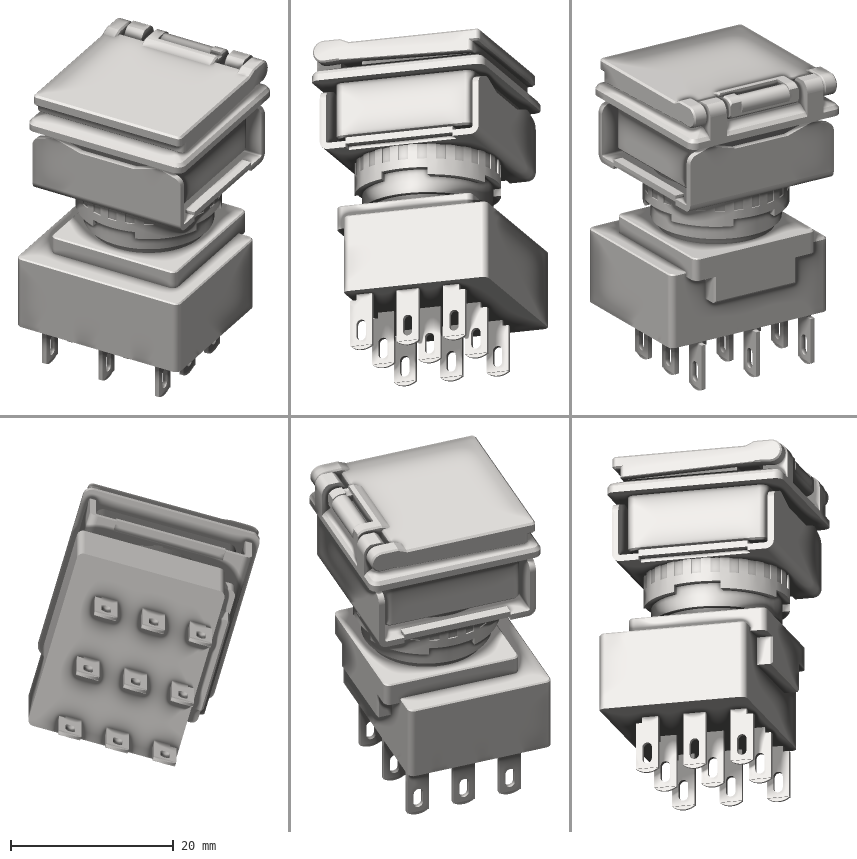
import cadquery as cq

BASE_LEFT, BASE_RIGHT = -11.95, 11.05
BASE_FRONT, BASE_BACK = -11.95, 6.9
BASE_HEIGHT = 9.75
BASE_CORNER = 0.8
EDGE_CHAMFER = 0.15

BLOCK_SIZE = 17.72
BLOCK_TOP = 12.07
BLOCK_BOTTOM = 9.1
LOBE_WIDTH = 12.05
LOBE_BOTTOM = 5.57
LOBE_CHAMFER = 0.25

TERMINAL_PITCH_X = 7.98
TERMINAL_MIDDLE_X = -1.92
TERMINAL_PITCH_Y = 6.05
TERMINAL_MIDDLE_Y = -1.0
TERMINAL_WIDTH = 2.85
TERMINAL_THICKNESS = 0.6
TERMINAL_LENGTH = 7.05
TIP_HEIGHT = 0.5
TIP_THICKNESS = 0.35
EYE_WIDTH, EYE_LENGTH = 1.2, 2.65
EYE_CENTER_Z = -4.6
NOTCH_DEPTH, NOTCH_HEIGHT = 0.8, 0.72

PLUG_RADIUS = 8.5
PLUG_DEPTH = 2.4
NECK_RADIUS = 7.25
SLEEVE_BOTTOM = 13.07
SLEEVE_RADIUS = 8.05
TAB_BOTTOM = 15.08
TAB_GAP = 5.97
RING_BOTTOM = 16.0
RING_RADIUS = 9.02
SLOT_COUNT = 24
SLOT_WIDTH = 1.2
SLOT_DEPTH = 0.15
SLOT_BOTTOM = 17.12
BARREL_RADIUS = 7.9
COLLAR_RADIUS = 8.1
COLLAR_HEIGHT = 0.25

BRACKET_WIDTH = 21.0
BRACKET_DEPTH = 20.7
SHEET = 0.8
BEND_RADIUS = 1.05
BRACKET_BOTTOM = 19.0
WALL_CORNER_Z = 26.3
WALL_PEAK_X, WALL_PEAK_Z = 7.45, 27.25
WALL_DIP_X, WALL_DIP_Z = 3.8, 26.2
WALL_CORNER_RADIUS = 1.2
WALL_PEAK_RADIUS = 2.0
STEP_LENGTH, STEP_WIDTH, STEP_RISE = 13.95, 1.3, 0.45

HOUSING_SIZE = 18.0
HOUSING_BOTTOM = 20.8
HOUSING_CORNER = 1.05
HOUSING_CHAMFER = 0.25
BEZEL_WIDTH = 22.0
BEZEL_FRONT, BEZEL_BACK = -11.05, 11.45
BEZEL_BOTTOM, BEZEL_RIM_TOP, BEZEL_SHOULDER, BEZEL_TOP = 27.8, 28.65, 29.07, 29.8
BEZEL_CORNER = 1.1
SHOULDER_INSET = 0.35
SHOULDER_CORNER = 0.72
CROWN_WIDTH = 17.6
CROWN_FRONT, CROWN_BACK = -8.9, 9.9
CROWN_CORNER = 0.2

HINGE_Y, HINGE_Z = 9.9, 31.65
HINGE_TOP = 33.05
LUG_RADIUS = BEZEL_BACK - HINGE_Y
LUG_INNER_X, LUG_OUTER_X = 5.9, 8.3

LID_WIDTH = 20.95
LID_FRONT = -10.43
LID_TOP = 32.55
LID_CORNER = 0.55
LID_CHAMFER = 0.25
LIP_BOTTOM = 31.05
SKIRT_FRONT = -9.42
SKIRT_CHAMFER = 0.1
KNUCKLE_RADIUS = HINGE_TOP - HINGE_Z
RAMP_TOP_Y, RAMP_FOOT_Y = 7.78, 6.65
UNDERSIDE_BACK_Y, UNDERSIDE_BACK_Z = 8.2, 30.3
PANEL_WIDTH = 18.45
PANEL_BACK = 5.3
LID_BACK = 7.85
KNUCKLE_CHAMFER = 0.2
END_KNUCKLE_INNER_X = 8.55
MIDDLE_KNUCKLE_WIDTH = 10.02
MIDDLE_KNUCKLE_BACK = 11.0
WINDOW_LEFT, WINDOW_RIGHT = -3.55, 3.4
WINDOW_FRONT = 8.4
NOTCH_BACK = 9.3
ROD_RADIUS = 1.25


def block(x0, x1, y0, y1, z0, z1):
    """Axis-aligned box between the given limits."""
    return cq.Workplane("XY").box(x1 - x0, y1 - y0, z1 - z0, centered=False).translate((x0, y0, z0))


def disc(radius, z0, z1):
    """Upright cylinder on the barrel axis."""
    return cq.Workplane("XY").workplane(offset=z0).circle(radius).extrude(z1 - z0)


def side_profile(points, x0, x1):
    """Closed YZ polygon extruded from x0 to x1."""
    return cq.Workplane("YZ").workplane(offset=x0).polyline(points).close().extrude(x1 - x0)


def hinge_cylinder(radius, x0, x1):
    """Cylinder on the hinge axis from x0 to x1."""
    return cq.Workplane("YZ").workplane(offset=x0).center(HINGE_Y, HINGE_Z).circle(radius).extrude(x1 - x0)


def make_terminal(x, y, notch_side):
    """One solder blade; notch_side is +1, -1 or 0 for the side whose root is notched."""
    half = TERMINAL_WIDTH / 2
    shoulder = TIP_HEIGHT - TERMINAL_LENGTH

    def blade(thickness):
        return (cq.Workplane("YZ").workplane(offset=-thickness / 2)
                .moveTo(-half, 0)
                .lineTo(-half, shoulder)
                .threePointArc((0, -TERMINAL_LENGTH), (half, shoulder))
                .lineTo(half, 0)
                .close()
                .extrude(thickness))

    full = TERMINAL_THICKNESS / 2
    terminal = blade(TERMINAL_THICKNESS).intersect(block(-full, full, -half, half, shoulder, 0))
    terminal = terminal.union(blade(TIP_THICKNESS))
    eye = (cq.Workplane("YZ").center(0, EYE_CENTER_Z).slot2D(EYE_LENGTH, EYE_WIDTH, 90)
           .extrude(TERMINAL_THICKNESS, both=True))
    terminal = terminal.cut(eye)
    if notch_side:
        notch = cq.Workplane("XY").box(2 * TERMINAL_THICKNESS, 2 * NOTCH_DEPTH, 2 * NOTCH_HEIGHT)
        terminal = terminal.cut(notch.translate((0, notch_side * half, 0)))
    return terminal.translate((x, y, 0))


def make_base():
    box = block(BASE_LEFT, BASE_RIGHT, BASE_FRONT, BASE_BACK, 0, BASE_HEIGHT)
    box = box.edges("|Z").fillet(BASE_CORNER).faces(">Z").edges().chamfer(EDGE_CHAMFER)

    half = BLOCK_SIZE / 2
    top = block(-half, half, -half, half, BLOCK_BOTTOM, BLOCK_TOP)
    top = top.edges("|Z").fillet(BASE_CORNER).faces(">Z").edges().chamfer(EDGE_CHAMFER)

    lobe = block(-LOBE_WIDTH / 2, LOBE_WIDTH / 2, 0, half, LOBE_BOTTOM, BLOCK_BOTTOM)
    lobe = lobe.faces(">Y").edges("not >Z").chamfer(LOBE_CHAMFER)

    body = box.union(top).union(lobe)
    for column in (-1, 0, 1):
        for row in (-1, 0, 1):
            x = TERMINAL_MIDDLE_X + column * TERMINAL_PITCH_X
            y = TERMINAL_MIDDLE_Y + row * TERMINAL_PITCH_Y
            body = body.union(make_terminal(x, y, row))
    return body.cut(disc(PLUG_RADIUS, BLOCK_TOP - PLUG_DEPTH, BLOCK_TOP))


def make_locking_ring():
    """Ring with slots round its upper edge and four tabs below."""
    ring = disc(RING_RADIUS, TAB_BOTTOM, BRACKET_BOTTOM)
    reach = 2 * RING_RADIUS
    for length_x, length_y in ((reach, TAB_GAP), (TAB_GAP, reach)):
        ring = ring.cut(block(-length_x / 2, length_x / 2, -length_y / 2, length_y / 2, TAB_BOTTOM, RING_BOTTOM))

    for index in range(SLOT_COUNT):
        slot = block(0, reach, -SLOT_WIDTH / 2, SLOT_WIDTH / 2, SLOT_BOTTOM, BRACKET_BOTTOM)
        ring = ring.cut(slot.rotate((0, 0, 0), (0, 0, 1), index * 360 / SLOT_COUNT))
    return ring.union(disc(RING_RADIUS - SLOT_DEPTH, SLOT_BOTTOM, BRACKET_BOTTOM))


def make_barrel():
    plug = disc(PLUG_RADIUS, BLOCK_TOP - PLUG_DEPTH, BLOCK_TOP)
    neck = disc(NECK_RADIUS, BLOCK_TOP, SLEEVE_BOTTOM)
    sleeve = disc(SLEEVE_RADIUS, SLEEVE_BOTTOM, RING_BOTTOM)
    barrel = disc(BARREL_RADIUS, RING_BOTTOM, HOUSING_BOTTOM)
    collar = cq.Workplane("XY").add(cq.Solid.makeCone(
        BARREL_RADIUS, COLLAR_RADIUS, COLLAR_HEIGHT, cq.Vector(0, 0, HOUSING_BOTTOM - COLLAR_HEIGHT)))
    return plug.union(neck).union(sleeve).union(barrel).union(collar).union(make_locking_ring())


def rounded_sketch(width, front, back, corner):
    """Rounded rectangle centred in X, running from front to back in Y."""
    outline = cq.Sketch().rect(width, back - front).vertices().fillet(corner)
    return outline.moved(cq.Location(cq.Vector(0, (front + back) / 2, 0)))


def make_bezel():
    rim = rounded_sketch(BEZEL_WIDTH, BEZEL_FRONT, BEZEL_BACK, BEZEL_CORNER)
    shoulder = rounded_sketch(BEZEL_WIDTH - 2 * SHOULDER_INSET, BEZEL_FRONT + SHOULDER_INSET,
                              BEZEL_BACK - SHOULDER_INSET, SHOULDER_CORNER)
    crown = rounded_sketch(CROWN_WIDTH, CROWN_FRONT, CROWN_BACK, CROWN_CORNER)

    def at(sketch, z):
        return sketch.moved(cq.Location(cq.Vector(0, 0, z)))

    plate = cq.Workplane("XY").workplane(offset=BEZEL_BOTTOM).placeSketch(rim)
    plate = plate.extrude(BEZEL_RIM_TOP - BEZEL_BOTTOM)
    edge = cq.Workplane("XY").placeSketch(at(rim, BEZEL_RIM_TOP), at(shoulder, BEZEL_SHOULDER)).loft(ruled=True)
    slope = cq.Workplane("XY").placeSketch(at(shoulder, BEZEL_SHOULDER), at(crown, BEZEL_TOP)).loft(ruled=True)
    return plate.union(edge).union(slope)


def make_hinge_lug(x0, x1):
    """Bezel lug: round head with a flat top on a straight foot."""
    head = hinge_cylinder(LUG_RADIUS, x0, x1)
    head = head.intersect(block(x0, x1, 0, BEZEL_BACK, BEZEL_TOP, HINGE_TOP))
    foot = block(x0, x1, HINGE_Y - LUG_RADIUS, BEZEL_BACK, BEZEL_RIM_TOP, HINGE_Z)
    return head.union(foot)


def make_housing():
    half = HOUSING_SIZE / 2
    box = block(-half, half, -half, half, HOUSING_BOTTOM, BEZEL_BOTTOM)
    box = box.edges("|Z").fillet(HOUSING_CORNER).faces("<Z").edges().chamfer(HOUSING_CHAMFER)
    body = make_barrel().union(box).union(make_bezel())
    for x0, x1 in ((-LUG_OUTER_X, -LUG_INNER_X), (LUG_INNER_X, LUG_OUTER_X)):
        body = body.union(make_hinge_lug(x0, x1))
    return body


def make_bracket():
    """U-shaped sheet bracket clamped between the housing and the locking ring."""
    half_width, half_depth = BRACKET_WIDTH / 2, BRACKET_DEPTH / 2
    plate_top = BRACKET_BOTTOM + SHEET

    outer = block(-half_width, half_width, -half_depth, half_depth, BRACKET_BOTTOM, WALL_PEAK_Z)
    outer = outer.faces("<Z").edges("|X").fillet(BEND_RADIUS)
    inner = block(-half_width, half_width, SHEET - half_depth, half_depth - SHEET, plate_top, WALL_PEAK_Z)
    inner = inner.faces("<Z").edges("|X").fillet(BEND_RADIUS - SHEET)
    sheet = outer.cut(inner)

    right_side = [(half_width, BRACKET_BOTTOM), (half_width, WALL_CORNER_Z), (WALL_PEAK_X, WALL_PEAK_Z),
                  (WALL_DIP_X, WALL_DIP_Z)]
    left_side = [(-x, z) for x, z in reversed(right_side)]
    outline = cq.Workplane("XZ").polyline(right_side + left_side).close().extrude(half_depth, both=True)
    for x in (-half_width, half_width):
        corner = cq.selectors.NearestToPointSelector((x, 0, WALL_CORNER_Z))
        outline = outline.edges("|Y").edges(corner).fillet(WALL_CORNER_RADIUS)
    for x in (-WALL_PEAK_X, WALL_PEAK_X):
        peak = cq.selectors.NearestToPointSelector((x, 0, WALL_PEAK_Z))
        outline = outline.edges("|Y").edges(peak).fillet(WALL_PEAK_RADIUS)
    sheet = sheet.intersect(outline)

    half_step = STEP_LENGTH / 2
    for edge_x in (-half_width, half_width - STEP_WIDTH):
        strip = block(edge_x, edge_x + STEP_WIDTH, -half_step, half_step, BRACKET_BOTTOM, plate_top)
        sheet = sheet.cut(strip).union(strip.translate((0, 0, STEP_RISE)))
    return sheet.cut(disc(BARREL_RADIUS, BRACKET_BOTTOM, plate_top))


def make_knuckle(x0, x1):
    """Lid knuckle: rounded back, flat top, and a ramp down to the lid plate."""
    knuckle = (cq.Workplane("YZ").workplane(offset=x0)
               .moveTo(RAMP_FOOT_Y, LID_TOP)
               .lineTo(RAMP_TOP_Y, HINGE_TOP)
               .lineTo(HINGE_Y, HINGE_TOP)
               .threePointArc((HINGE_Y + KNUCKLE_RADIUS, HINGE_Z), (HINGE_Y, HINGE_Z - KNUCKLE_RADIUS))
               .lineTo(UNDERSIDE_BACK_Y, UNDERSIDE_BACK_Z)
               .lineTo(RAMP_FOOT_Y, UNDERSIDE_BACK_Z)
               .close()
               .extrude(x1 - x0))
    return knuckle.faces("<X or >X").edges("not <Y").chamfer(KNUCKLE_CHAMFER)


def make_middle_knuckle():
    """Middle knuckle with a window that shows the hinge rod, and a notch beside it."""
    half = MIDDLE_KNUCKLE_WIDTH / 2
    knuckle = make_knuckle(-half, half)
    knuckle = knuckle.cut(block(-half, half, MIDDLE_KNUCKLE_BACK, BEZEL_BACK, BEZEL_TOP, HINGE_TOP))
    knuckle = knuckle.cut(block(WINDOW_LEFT, WINDOW_RIGHT, WINDOW_FRONT, BEZEL_BACK, HINGE_Z, HINGE_TOP))
    knuckle = knuckle.cut(block(WINDOW_RIGHT, half, WINDOW_FRONT, NOTCH_BACK, LID_TOP, HINGE_TOP))
    return knuckle.union(hinge_cylinder(ROD_RADIUS, WINDOW_LEFT, WINDOW_RIGHT))


def make_lid():
    half = LID_WIDTH / 2
    plate = block(-half, half, LID_FRONT, LID_BACK, LIP_BOTTOM, LID_TOP)
    plate = plate.edges("|Z and <Y").fillet(LID_CORNER)
    plate = plate.faces("<Z or >Z").edges().chamfer(LID_CHAMFER)

    skirt = block(-half, half, SKIRT_FRONT, LID_BACK, BEZEL_TOP, LID_TOP - LID_CHAMFER)
    skirt = skirt.edges("|Z and <Y").fillet(LID_CORNER)
    slope = (UNDERSIDE_BACK_Z - BEZEL_TOP) / (UNDERSIDE_BACK_Y - SKIRT_FRONT)
    wedge_back_z = BEZEL_TOP + slope * (LID_BACK - SKIRT_FRONT)
    wedge = side_profile([(SKIRT_FRONT, BEZEL_TOP), (LID_BACK, BEZEL_TOP), (LID_BACK, wedge_back_z)],
                         -half, half)
    skirt = skirt.cut(wedge).faces("<Z").edges("not >Y").chamfer(SKIRT_CHAMFER)
    panel = block(-PANEL_WIDTH / 2, PANEL_WIDTH / 2, CROWN_FRONT, PANEL_BACK, BEZEL_TOP, LIP_BOTTOM)

    lid = plate.union(skirt).union(panel).union(make_middle_knuckle())
    for x0, x1 in ((-half, -END_KNUCKLE_INNER_X), (END_KNUCKLE_INNER_X, half)):
        lid = lid.union(make_knuckle(x0, x1))
    return lid


base = make_base()
housing = make_housing()
bracket = make_bracket()
lid = make_lid()

result = cq.Compound.makeCompound([
    *base.solids().vals(),
    *housing.solids().vals(),
    *bracket.solids().vals(),
    *lid.solids().vals(),
])